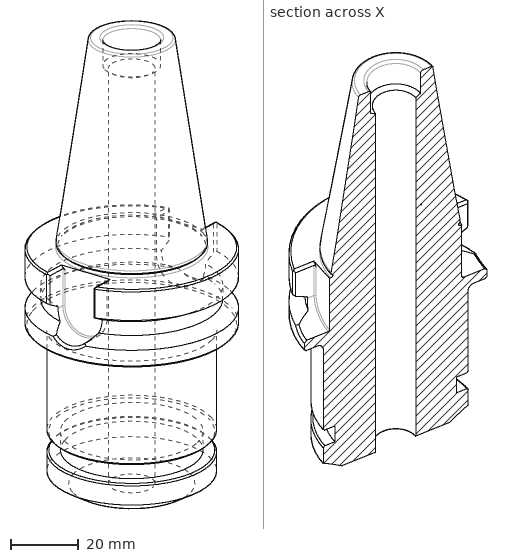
import cadquery as cq

TOTAL_HEIGHT = 143.4
FLANGE_DIA = 63.0
FLANGE_TOP = 76.0
FLANGE_BOTTOM = 51.0
RIM_CHAMFER = 0.6

TAPER_LARGE_DIA = 44.6
TAPER_RATIO = 7 / 24
TAPER_BASE = 78.2
TAPER_LAND = 0.9
NECK_DIA = 43.5
NECK_FILLET = 0.7
TAPER_TIP_FILLET = 0.7

GROOVE_DIA = 53.6
GROOVE_FLOOR_TOP = 63.8
GROOVE_FLOOR_BOTTOM = 59.4
GROOVE_RIM_TOP = 66.3
GROOVE_RIM_BOTTOM = 56.6

SLOT_WIDTH = 16.0
SLOT_BOTTOM = 55.2
SLOT_FLOOR_OFFSET = 22.8
SLOT_CHAMFER = 0.9
SLOT_FLOOR_FILLET = 0.5

BODY_DIA = 50.0
BODY_FILLET = 2.0
BODY_GROOVE_DIA = 42.0
BODY_GROOVE_TOP = 16.8
BODY_GROOVE_BOTTOM = 10.8
BODY_GROOVE_CHAMFER = 0.6
NOSE_DIA = 37.1
NOSE_CONE_HEIGHT = 4.0

BORE_DIA = 13.8
PILOT_DIA = 17.0
PILOT_DEPTH = 8.9
PILOT_CONE_HEIGHT = 1.0
PILOT_FILLET = 0.9


def cylinder(diameter, bottom, top):
    return cq.Workplane("XY").workplane(offset=bottom).circle(diameter / 2).extrude(top - bottom)


def make_flange():
    """Flange disc with chamfered drive slots and the V-groove turned into it."""
    flange = cylinder(FLANGE_DIA, FLANGE_BOTTOM, FLANGE_TOP)
    for side in (-1, 1):
        flange = flange.cut(make_slot(side))
    flange = flange.edges(slot_mouth_edges()).chamfer(SLOT_CHAMFER)
    flange = flange.edges(slot_floor_edges()).fillet(SLOT_FLOOR_FILLET)
    bevelled_disc = cylinder(FLANGE_DIA, FLANGE_BOTTOM, FLANGE_TOP)
    bevelled_disc = bevelled_disc.faces("<Z or >Z").edges().chamfer(RIM_CHAMFER)
    flange = flange.intersect(bevelled_disc)

    groove_r = GROOVE_DIA / 2
    rim_r = FLANGE_DIA / 2
    outside_r = FLANGE_DIA
    groove = (
        cq.Workplane("XZ")
        .moveTo(groove_r, GROOVE_FLOOR_BOTTOM)
        .lineTo(rim_r, GROOVE_RIM_BOTTOM)
        .lineTo(outside_r, GROOVE_RIM_BOTTOM)
        .lineTo(outside_r, GROOVE_RIM_TOP)
        .lineTo(rim_r, GROOVE_RIM_TOP)
        .lineTo(groove_r, GROOVE_FLOOR_TOP)
        .close()
        .revolve(360, (0, 0, 0), (0, 1, 0))
    )
    return flange.cut(groove)


def slot_mouth_edges():
    """Selector for the slot edges on the rim and on the top face, without the slot floors."""
    margin = 0.5
    half_width = SLOT_WIDTH / 2 + margin
    boxes = []
    for side in (-1, 1):
        y_inner = side * (SLOT_FLOOR_OFFSET + margin)
        boxes.append(
            cq.selectors.BoxSelector(
                (-half_width, y_inner, SLOT_BOTTOM - margin),
                (half_width, side * FLANGE_DIA, FLANGE_TOP + margin),
            )
        )
    return boxes[0] + boxes[1]


def slot_floor_edges():
    """Selector for the edges where the slot walls meet the slot floors."""
    margin = 0.1
    half_width = SLOT_WIDTH / 2 + margin
    boxes = []
    for side in (-1, 1):
        boxes.append(
            cq.selectors.BoxSelector(
                (-half_width, side * (SLOT_FLOOR_OFFSET - margin), SLOT_BOTTOM - margin),
                (half_width, side * (SLOT_FLOOR_OFFSET + margin), FLANGE_TOP - SLOT_CHAMFER - margin),
            )
        )
    return boxes[0] + boxes[1]


def slot_outline(workplane):
    """U-shaped slot outline that is round at its lower end."""
    radius = SLOT_WIDTH / 2
    arc_centre = SLOT_BOTTOM + radius
    return (
        workplane.moveTo(-radius, FLANGE_TOP)
        .lineTo(-radius, arc_centre)
        .threePointArc((0, SLOT_BOTTOM), (radius, arc_centre))
        .lineTo(radius, FLANGE_TOP)
        .close()
    )


def make_slot(side):
    """Cutter for one slot: side is -1 for the -Y slot and 1 for the +Y slot."""
    floor = cq.Workplane("XZ", origin=(0, side * SLOT_FLOOR_OFFSET, 0))
    return slot_outline(floor).extrude(-side * FLANGE_DIA / 2)


def make_shank():
    """Taper shank with a short straight land and a neck above the flange."""
    large_r = TAPER_LARGE_DIA / 2
    tip_r = large_r - TAPER_RATIO * (TOTAL_HEIGHT - TAPER_BASE) / 2
    neck_r = NECK_DIA / 2
    land_bottom = TAPER_BASE - TAPER_LAND
    shank = (
        cq.Workplane("XZ")
        .moveTo(0, FLANGE_TOP)
        .lineTo(neck_r + NECK_FILLET, FLANGE_TOP)
        .radiusArc((neck_r, FLANGE_TOP + NECK_FILLET), NECK_FILLET)
        .lineTo(large_r, land_bottom)
        .lineTo(large_r, TAPER_BASE)
        .lineTo(tip_r, TOTAL_HEIGHT)
        .lineTo(0, TOTAL_HEIGHT)
        .close()
        .revolve(360, (0, 0, 0), (0, 1, 0))
    )
    return shank.faces(">Z").edges().fillet(TAPER_TIP_FILLET)


def make_body():
    """Grooved body below the flange, ending in a conical nose."""
    body_r = BODY_DIA / 2
    groove_r = BODY_GROOVE_DIA / 2
    fillet_start = FLANGE_BOTTOM - BODY_FILLET
    chamfer = BODY_GROOVE_CHAMFER
    arc_mid = BODY_FILLET * (1 - 0.5 ** 0.5)
    return (
        cq.Workplane("XZ")
        .lineTo(NOSE_DIA / 2, 0)
        .lineTo(body_r, NOSE_CONE_HEIGHT)
        .lineTo(body_r, BODY_GROOVE_BOTTOM - chamfer)
        .lineTo(body_r - chamfer, BODY_GROOVE_BOTTOM)
        .lineTo(groove_r, BODY_GROOVE_BOTTOM)
        .lineTo(groove_r, BODY_GROOVE_TOP)
        .lineTo(body_r - chamfer, BODY_GROOVE_TOP)
        .lineTo(body_r, BODY_GROOVE_TOP + chamfer)
        .lineTo(body_r, fillet_start)
        .threePointArc(
            (body_r + arc_mid, FLANGE_BOTTOM - arc_mid),
            (body_r + BODY_FILLET, FLANGE_BOTTOM),
        )
        .lineTo(0, FLANGE_BOTTOM)
        .close()
        .revolve(360, (0, 0, 0), (0, 1, 0))
    )


def make_bore():
    """Through bore with a wider pilot at the taper tip: conical floor and rounded mouth."""
    bore_r = BORE_DIA / 2
    pilot_r = PILOT_DIA / 2
    pilot_bottom = TOTAL_HEIGHT - PILOT_DEPTH
    return (
        cq.Workplane("XZ")
        .lineTo(bore_r, 0)
        .lineTo(bore_r, pilot_bottom - PILOT_CONE_HEIGHT)
        .lineTo(pilot_r, pilot_bottom)
        .lineTo(pilot_r, TOTAL_HEIGHT - PILOT_FILLET)
        .radiusArc((pilot_r + PILOT_FILLET, TOTAL_HEIGHT), PILOT_FILLET)
        .lineTo(0, TOTAL_HEIGHT)
        .close()
        .revolve(360, (0, 0, 0), (0, 1, 0))
    )


result = make_flange().union(make_shank()).union(make_body()).cut(make_bore())